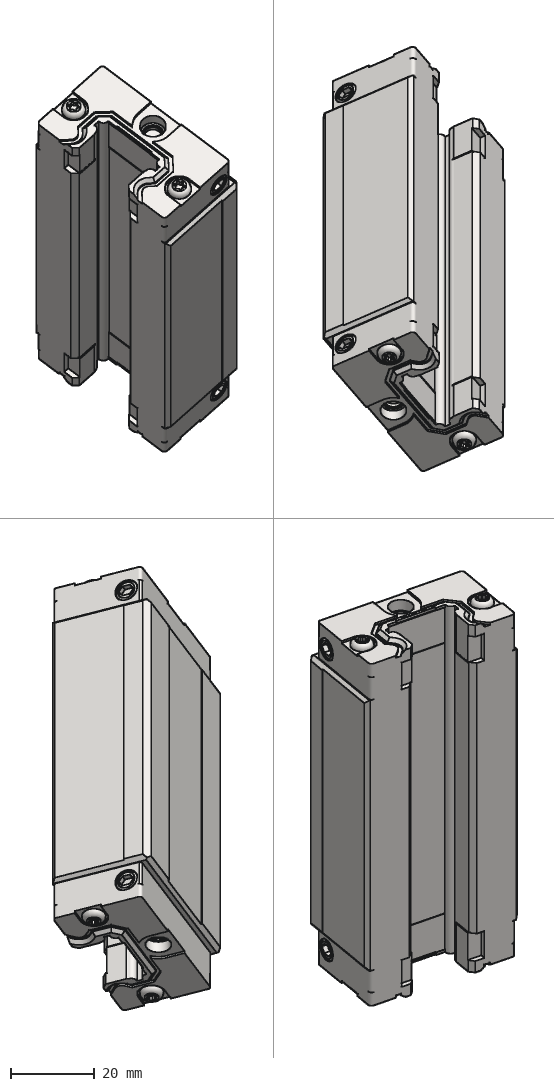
import cadquery as cq
import math


WIDTH = 44.0
HEIGHT = 25.5
LENGTH = 98.6

BODY_LENGTH = 76.4
BODY_TOP_CHAMFER = 1.5
BODY_BOTTOM_CHAMFER = 1.0
BODY_END_CHAMFER = 1.1
SIDE_LEDGE_Y = 19.0
SIDE_LEDGE_DEPTH = 0.2
TOP_RELIEF_WIDTH = 19.5
TOP_RELIEF_DEPTH = 0.25

BODY_ROOF_Y = 11.85
CAP_ROOF_Y = 11.7
SEAL_ROOF_Y = 11.62
CHANNEL_ROOF_HALF = 8.2
BODY_NECK_HALF = 8.25
CAP_NECK_HALF = 8.0
NECK_TOP_Y = 6.5
GROOVE_DEEP_HALF = 9.85
GROOVE_TOP_Y = 10.0
GROOVE_BOTTOM_Y = 8.5
GROOVE_LIP_RADIUS = 1.45
BODY_TIP_CHAMFER = 1.4
CAP_TIP_CHAMFER = 1.2

CAP_WIDTH = 41.4
CAP_HEIGHT = 23.05
CAP_TOP_Z = 48.3
PLATE_BOTTOM_Z = 44.5
BLOCK_TOP_CHAMFER = 0.5
PLATE_TOP_FILLET = 0.8
BLOCK_BOTTOM_FILLET = 0.9
PLATE_BOTTOM_FILLET = 1.0
TIP_POCKET_HALF = 11.8
TIP_POCKET_TOP_Z = 45.8
TIP_POCKET_DEPTH = 1.4

RECESS_DEPTH = 0.6
RECESS_Z = CAP_TOP_Z - RECESS_DEPTH
SEAL_TOP_Z = 49.05
SEAL_BEVEL = 0.95
SEAL_GROOVE_WIDTH = 1.05
SEAL_NOTCH_WIDTH = 11.2
SEAL_NOTCH_DEPTH = 0.25
SEAL_RIM_Y = 12.8
SEAL_RIM_ROOF_HALF = 8.85
SEAL_RIM_WIDE_HALF = 10.8
SEAL_RIM_NECK_HALF = 8.95
SEAL_RIM_NECK_Y = 3.3
SEAL_RIM_NECK_RADIUS = 3.8

PORT_Y = 18.4
PORT_RECESS_RADIUS = 4.9
PORT_DIAMETER = 6.2
PORT_DEPTH = 3.0
PORT_BORE_DIAMETER = 5.0
PORT_BORE_DEPTH = 3.5
PORT_DRILL_DIAMETER = 4.4
PORT_DRILL_DEPTH = 4.5

SCREW_X = 17.1
SCREW_Y = 9.1
SCREW_SPOTFACE_DIAMETER = 6.9
SCREW_HEAD_DIAMETER = 5.7
SCREW_CROWN_DIAMETER = 3.4
SOCKET_CORE_DIAMETER = 2.0
SOCKET_LOBE_DIAMETER = 0.6
SOCKET_LOBES = 6
SOCKET_DEPTH = 1.2

PLUG_Y = 19.1
PLUG_Z = 42.45
PLUG_SEAT_DIAMETER = 5.7
PLUG_FACE_DIAMETER = 4.4
PLUG_SEAT_DEPTH = 0.5
PLUG_SOCKET_HALF_LENGTH = 2.0
PLUG_SOCKET_HALF_HEIGHT = 1.35
PLUG_SOCKET_HALF_FLAT = 0.95
PLUG_SOCKET_DEPTH = 1.5

MARGIN = 5.0
BODY_TOP_Z = BODY_LENGTH / 2


def box(x_min, x_max, y_min, y_max, z_min, z_max):
    size = (x_max - x_min, y_max - y_min, z_max - z_min)
    return cq.Workplane("XY").box(*size, centered=False).translate((x_min, y_min, z_min))


def on_both_sides(shape):
    return shape.union(shape.mirror("YZ"))


def channel(neck_half, tip_chamfer, roof_y, z_min, z_max):
    """Rail channel with a ball groove between two rounded lips in each wall."""
    mouth_half = neck_half + tip_chamfer
    lip_center_x = CHANNEL_ROOF_HALF + GROOVE_LIP_RADIUS
    upper_lip_y = GROOVE_TOP_Y + GROOVE_LIP_RADIUS
    lower_lip_y = GROOVE_BOTTOM_Y - GROOVE_LIP_RADIUS
    lip_diagonal = GROOVE_LIP_RADIUS * math.sin(math.pi / 4)
    lip_mid_x = lip_center_x - lip_diagonal
    half = (
        cq.Workplane("XY", origin=(0, 0, z_min))
        .moveTo(0, -MARGIN)
        .lineTo(mouth_half, -MARGIN)
        .lineTo(mouth_half, 0)
        .lineTo(neck_half, tip_chamfer)
        .lineTo(neck_half, NECK_TOP_Y)
        .lineTo(CHANNEL_ROOF_HALF, lower_lip_y)
        .threePointArc((lip_mid_x, lower_lip_y + lip_diagonal), (lip_center_x, GROOVE_BOTTOM_Y))
        .lineTo(GROOVE_DEEP_HALF, GROOVE_BOTTOM_Y)
        .lineTo(GROOVE_DEEP_HALF, GROOVE_TOP_Y)
        .lineTo(lip_center_x, GROOVE_TOP_Y)
        .threePointArc((lip_mid_x, upper_lip_y - lip_diagonal), (CHANNEL_ROOF_HALF, upper_lip_y))
        .lineTo(CHANNEL_ROOF_HALF, roof_y)
        .lineTo(0, roof_y)
        .close()
        .extrude(z_max - z_min)
    )
    return on_both_sides(half)


def corner_cut(edge_x, edge_y, size, upward):
    """Prism along Z that bevels the body edge at (edge_x, edge_y), for the +X side."""
    direction = 1 if upward else -1
    bevel_y = edge_y - direction * size
    outer_y = edge_y + direction * MARGIN
    return (
        cq.Workplane("XY")
        .polyline([
            (edge_x, bevel_y),
            (edge_x - size, edge_y),
            (edge_x - size, outer_y),
            (edge_x + MARGIN, outer_y),
            (edge_x + MARGIN, bevel_y),
        ])
        .close()
        .extrude(BODY_TOP_Z)
    )


def make_body():
    upper_half = WIDTH / 2
    lower_half = upper_half - SIDE_LEDGE_DEPTH
    body = box(-upper_half, upper_half, -MARGIN, HEIGHT, 0, BODY_TOP_Z)
    body = body.faces(">Z").chamfer(BODY_END_CHAMFER)
    body = body.cut(box(-WIDTH, WIDTH, -2 * MARGIN, 0, 0, LENGTH))
    side_step = box(lower_half, WIDTH, 0, SIDE_LEDGE_Y, 0, BODY_TOP_Z)
    top_corner = corner_cut(upper_half, HEIGHT, BODY_TOP_CHAMFER, True)
    bottom_corner = corner_cut(lower_half, 0, BODY_BOTTOM_CHAMFER, False)
    for side_cut in (side_step, top_corner, bottom_corner):
        body = body.cut(on_both_sides(side_cut))
    relief_half = TOP_RELIEF_WIDTH / 2
    relief = box(-relief_half, relief_half, HEIGHT - TOP_RELIEF_DEPTH, HEIGHT + MARGIN, 0, BODY_TOP_Z)
    return body.cut(relief).cut(channel(BODY_NECK_HALF, BODY_TIP_CHAMFER, BODY_ROOF_Y, 0, BODY_TOP_Z))


def make_cap():
    half = CAP_WIDTH / 2
    block = box(-half, half, 0, CAP_HEIGHT, BODY_TOP_Z, PLATE_BOTTOM_Z)
    block = block.edges("|Z and >Y").chamfer(BLOCK_TOP_CHAMFER)
    block = block.edges("|Z and <Y").fillet(BLOCK_BOTTOM_FILLET)
    plate = box(-half, half, 0, CAP_HEIGHT, PLATE_BOTTOM_Z, CAP_TOP_Z)
    plate = plate.edges("|Z and >Y").fillet(PLATE_TOP_FILLET)
    plate = plate.edges("|Z and <Y").fillet(PLATE_BOTTOM_FILLET)
    return block.union(plate)


def seal_outline(offset, floor_z):
    """Seal rim outline, grown outward by the offset, at the given level."""
    neck_half_chord = SEAL_RIM_NECK_RADIUS * math.sin(math.pi / 4)
    neck_end_half = SEAL_RIM_NECK_HALF + SEAL_RIM_NECK_RADIUS - neck_half_chord
    neck_low = SEAL_RIM_NECK_Y - neck_half_chord
    neck_high = SEAL_RIM_NECK_Y + neck_half_chord
    run_out_half = neck_end_half + neck_low + MARGIN
    neck_rise = SEAL_RIM_WIDE_HALF - neck_end_half
    roof_narrowing = SEAL_RIM_WIDE_HALF - SEAL_RIM_ROOF_HALF
    over_roof = [
        (SEAL_RIM_WIDE_HALF, neck_high + neck_rise),
        (SEAL_RIM_WIDE_HALF, SEAL_RIM_Y - roof_narrowing),
        (SEAL_RIM_ROOF_HALF, SEAL_RIM_Y),
        (-SEAL_RIM_ROOF_HALF, SEAL_RIM_Y),
        (-SEAL_RIM_WIDE_HALF, SEAL_RIM_Y - roof_narrowing),
        (-SEAL_RIM_WIDE_HALF, neck_high + neck_rise),
        (-neck_end_half, neck_high),
    ]
    outline = (
        cq.Workplane("XY", origin=(0, 0, floor_z))
        .moveTo(run_out_half, -MARGIN)
        .lineTo(neck_end_half, neck_low)
        .threePointArc((SEAL_RIM_NECK_HALF, SEAL_RIM_NECK_Y), (neck_end_half, neck_high))
        .polyline(over_roof, includeCurrent=True)
        .threePointArc((-SEAL_RIM_NECK_HALF, SEAL_RIM_NECK_Y), (-neck_end_half, neck_low))
        .lineTo(-run_out_half, -MARGIN)
        .close()
    )
    return outline.offset2D(offset, "intersection")


def end_face_recesses():
    """Seal groove, port recess and screw spotfaces, all with one floor level."""
    groove = seal_outline(SEAL_BEVEL + SEAL_GROOVE_WIDTH, RECESS_Z).extrude(MARGIN)
    port = cq.Workplane("XY", origin=(0, PORT_Y, RECESS_Z)).circle(PORT_RECESS_RADIUS).extrude(MARGIN)
    port_opening = box(
        -PORT_RECESS_RADIUS, PORT_RECESS_RADIUS, PORT_Y, HEIGHT, RECESS_Z, RECESS_Z + MARGIN
    )
    spot_radius = SCREW_SPOTFACE_DIAMETER / 2
    spotface = cq.Workplane("XY", origin=(SCREW_X, SCREW_Y, RECESS_Z)).circle(spot_radius).extrude(MARGIN)
    spot_opening = box(
        SCREW_X, WIDTH / 2, SCREW_Y - spot_radius, SCREW_Y + spot_radius, RECESS_Z, RECESS_Z + MARGIN
    )
    return groove.union(port).union(port_opening).union(on_both_sides(spotface.union(spot_opening)))


def make_seal():
    """Raised seal rim with a 45 degree bevel along its outer edge."""
    bevel_z = SEAL_TOP_Z - SEAL_BEVEL
    seal = seal_outline(SEAL_BEVEL, RECESS_Z).extrude(bevel_z - RECESS_Z)
    seal = seal.union(seal_outline(SEAL_BEVEL, bevel_z).extrude(SEAL_BEVEL, taper=45))
    seal = seal.intersect(box(-WIDTH, WIDTH, 0, HEIGHT, RECESS_Z, LENGTH))
    notch_half = SEAL_NOTCH_WIDTH / 2
    notch_top = CAP_ROOF_Y + SEAL_NOTCH_DEPTH
    return seal.cut(box(-notch_half, notch_half, 0, notch_top, CAP_TOP_Z, LENGTH))


def tip_pockets():
    return box(-TIP_POCKET_HALF, TIP_POCKET_HALF, -MARGIN, TIP_POCKET_DEPTH, BODY_TOP_Z, TIP_POCKET_TOP_Z)


def port_hole():
    top = cq.Workplane("XY", origin=(0, PORT_Y, RECESS_Z))
    counterbore = top.circle(PORT_DIAMETER / 2).extrude(-PORT_DEPTH)
    bore = top.circle(PORT_BORE_DIAMETER / 2).extrude(-PORT_BORE_DEPTH)
    drill = top.circle(PORT_DRILL_DIAMETER / 2).extrude(-PORT_DRILL_DEPTH)
    return counterbore.union(bore).union(drill)


def make_screw():
    """Domed screw head with a six-lobed socket, standing on the spotface."""
    head_radius = SCREW_HEAD_DIAMETER / 2
    crown_radius = SCREW_CROWN_DIAMETER / 2
    head_height = LENGTH / 2 - RECESS_Z
    dome_mid = (
        crown_radius + (head_radius - crown_radius) * math.sin(math.pi / 4),
        head_height * math.sin(math.pi / 4),
    )
    head = (
        cq.Workplane("XZ")
        .moveTo(0, 0)
        .lineTo(head_radius, 0)
        .threePointArc(dome_mid, (crown_radius, head_height))
        .lineTo(0, head_height)
        .close()
        .revolve(360, (0, 0, 0), (0, 1, 0))
    )
    crown = cq.Workplane("XY", origin=(0, 0, head_height))
    core_radius = SOCKET_CORE_DIAMETER / 2
    core = crown.circle(core_radius).extrude(-SOCKET_DEPTH)
    lobes = (
        crown.polarArray(core_radius, 90, 360, SOCKET_LOBES)
        .circle(SOCKET_LOBE_DIAMETER / 2)
        .extrude(-SOCKET_DEPTH)
    )
    return head.cut(core).cut(lobes).translate((SCREW_X, SCREW_Y, RECESS_Z))


def plug_cut():
    """Ring left around a flush countersunk plug, and the plug's six-sided socket."""
    side = cq.Workplane("YZ", origin=(CAP_WIDTH / 2, PLUG_Y, PLUG_Z))
    seat = side.circle(PLUG_SEAT_DIAMETER / 2).extrude(-PLUG_SEAT_DEPTH)
    plug = cq.Workplane("XY").add(cq.Solid.makeCone(
        PLUG_SEAT_DIAMETER / 2,
        PLUG_FACE_DIAMETER / 2,
        PLUG_SEAT_DEPTH,
        cq.Vector(CAP_WIDTH / 2 - PLUG_SEAT_DEPTH, PLUG_Y, PLUG_Z),
        cq.Vector(1, 0, 0),
    ))
    upper = [
        (PLUG_SOCKET_HALF_LENGTH, 0),
        (PLUG_SOCKET_HALF_FLAT, PLUG_SOCKET_HALF_HEIGHT),
        (-PLUG_SOCKET_HALF_FLAT, PLUG_SOCKET_HALF_HEIGHT),
    ]
    lower = [(-y, -z) for y, z in upper]
    socket = side.polyline(upper + lower).close().extrude(-PLUG_SOCKET_DEPTH)
    return seat.cut(plug).union(socket)


def make_end():
    end = make_cap().cut(end_face_recesses()).union(make_seal())
    end = end.cut(channel(CAP_NECK_HALF, CAP_TIP_CHAMFER, CAP_ROOF_Y, BODY_TOP_Z, CAP_TOP_Z))
    end = end.cut(channel(CAP_NECK_HALF, CAP_TIP_CHAMFER, SEAL_ROOF_Y, CAP_TOP_Z, LENGTH))
    end = end.cut(tip_pockets()).cut(port_hole()).cut(on_both_sides(plug_cut()))
    return end.union(on_both_sides(make_screw()))


carriage_half = make_body().union(make_end())
result = carriage_half.union(carriage_half.mirror("XY"))